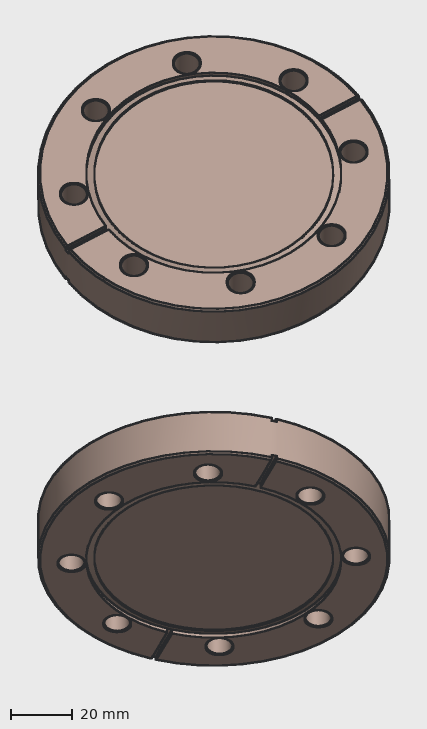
import cadquery as cq
import math

flange_diameter = 113.5
thickness = 17.3
rim_chamfer = 0.7

recess_diameter = 82.4
recess_depth = 1.6
knife_diameter = 77.2
knife_depth = 0.7
floor_depth = 1.2

bolt_count = 8
bolt_circle_diameter = 92.0
bolt_hole_diameter = 8.4
bolt_hole_chamfer = 0.3

groove_width = 1.7
groove_depth = 1.6
groove_angle = 67.5

flange_radius = flange_diameter / 2
recess_radius = recess_diameter / 2
knife_radius = knife_diameter / 2
half_thickness = thickness / 2


def make_body():
    """Half section of the flange, revolved about Z."""
    rim_radius = flange_radius - rim_chamfer
    upper_profile = [
        (0, half_thickness - floor_depth),
        (knife_radius, half_thickness - floor_depth),
        (knife_radius, half_thickness - knife_depth),
        (recess_radius, half_thickness - recess_depth),
        (recess_radius, half_thickness),
        (rim_radius, half_thickness),
        (flange_radius, half_thickness - rim_chamfer),
    ]
    lower_profile = [(r, -z) for r, z in reversed(upper_profile)]
    section = cq.Workplane("YZ").polyline(upper_profile + lower_profile).close()
    return section.revolve(360, (0, 0, 0), (0, 1, 0))


def make_bolt_hole_cutter():
    """Through hole flared by a chamfer at both faces."""
    hole_radius = bolt_hole_diameter / 2
    mouth_radius = hole_radius + bolt_hole_chamfer
    chamfer_start = half_thickness - bolt_hole_chamfer
    profile = [
        (0, half_thickness),
        (mouth_radius, half_thickness),
        (hole_radius, chamfer_start),
        (hole_radius, -chamfer_start),
        (mouth_radius, -half_thickness),
        (0, -half_thickness),
    ]
    section = cq.Workplane("XZ").polyline(profile).close()
    return section.revolve(360, (0, 0, 0), (0, 1, 0))


def make_groove_cutter(angle, face):
    """Radial groove from the recess out through the rim; face is 1 for top, -1 for bottom."""
    inner_end = knife_radius
    length = flange_radius + groove_width - inner_end
    bar = cq.Workplane("XY").box(length, groove_width, 2 * groove_depth)
    bar = bar.translate((inner_end + length / 2, 0, face * half_thickness))
    bar = bar.cut(cq.Workplane("XY").circle(recess_radius).extrude(thickness, both=True))
    return bar.rotate((0, 0, 0), (0, 0, 1), angle)


result = make_body()

for index in range(bolt_count):
    bolt_angle = math.radians(index * 360 / bolt_count)
    bolt_x = bolt_circle_diameter / 2 * math.cos(bolt_angle)
    bolt_y = bolt_circle_diameter / 2 * math.sin(bolt_angle)
    result = result.cut(make_bolt_hole_cutter().translate((bolt_x, bolt_y, 0)))

for face in (1, -1):
    for angle in (groove_angle, groove_angle + 180):
        result = result.cut(make_groove_cutter(angle, face))